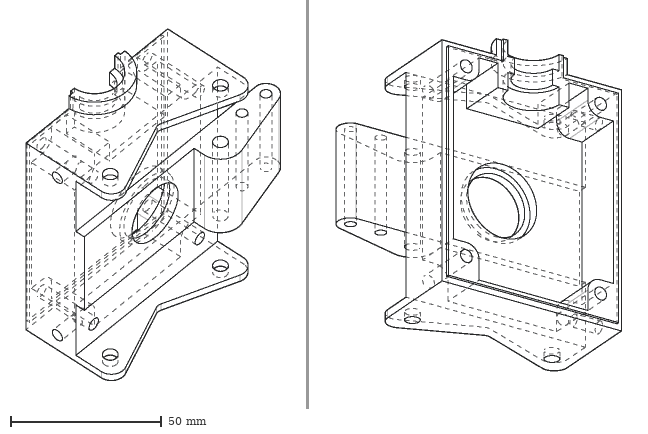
import cadquery as cq
import math


lip_height = 1.0
back_x = 23.3
half_width = 35.4
box_height = 89.0
side_wall = 3.9
end_wall = 3.5
back_wall = 4.1
floor_x = back_x - back_wall
side_step = 1.8
end_step = 2.2

screw_y = 26.5
screw_pitch = 70.0
post_radius = 5.0
screw_diameter = 4.7

seat_z = 46.1
seat_radius = 13.6
bore_radius = 11.5

total_height = 95.0
collar_radius = 14.1
collar_bottom_z = 76.5
collar_lip_half = collar_radius - end_step
counterbore_radius = 10.1
collar_bore_radius = 7.5
web_bottom_z = 83.0

ear_reach = 39.6
ear_thickness = 3.0
ear_corner_radius = 5.0
notch_x = 28.1
notch_radius = 3.0
pivot_x = 31.5
pivot_y = 27.55
pivot_diameter = 5.2

bracket_height = 35.1
plate_back_x = 27.0
arm_tip_x = 28.0
arm_tip_y = 54.2
arm_tip_radius = 4.8
arm_hole_pitch = 12.0
arm_hole_diameter = 3.9

side_hole_x = 15.0
side_hole_pitch = 75.05
side_hole_diameter = 4.5
side_hole_depth = 10.0
drill_point_angle = 118.0

middle_z = box_height / 2
screw_levels = (seat_z - screw_pitch / 2, seat_z + screw_pitch / 2)


def block(x_range, y_range, z_range):
    """Box between the given limits on each axis."""
    lows, highs = zip(x_range, y_range, z_range)
    sizes = [high - low for low, high in zip(lows, highs)]
    return cq.Workplane("XY").box(*sizes, centered=False).translate(lows)


def pin_z(x, y, radius, z_low, z_high):
    """Cylinder along Z."""
    return cq.Workplane("XY", origin=(x, y, z_low)).circle(radius).extrude(z_high - z_low)


def pin_x(y, z, radius, x_low, x_high):
    """Cylinder along X."""
    return cq.Workplane("YZ", origin=(x_low, y, z)).circle(radius).extrude(x_high - x_low)


def make_cavity():
    """Hollow of the box, leaving a rounded post in each corner."""
    inner_half = half_width - side_wall
    inner_top = box_height - end_wall
    cavity = block((0, floor_x), (-inner_half, inner_half), (end_wall, inner_top))
    low_screw_z, high_screw_z = screw_levels
    post_ends = ((0, low_screw_z + post_radius), (box_height, high_screw_z - post_radius))
    for side in (-1, 1):
        inner_y = side * (screw_y - post_radius)
        for outer_z, inner_z in post_ends:
            post = block((0, floor_x), sorted((inner_y, side * half_width)), sorted((outer_z, inner_z)))
            inner_edge = cq.selectors.NearestToPointSelector((floor_x / 2, inner_y, inner_z))
            cavity = cavity.cut(post.edges(inner_edge).fillet(post_radius))
    return cavity


def make_collar():
    """Half collar standing on the box, with a square block below it inside the cavity."""
    kept_half = block((0, collar_radius), (-collar_radius, collar_radius), (box_height, total_height))
    ring = pin_z(0, 0, collar_radius, box_height, total_height).intersect(kept_half)
    inner_block = block((0, floor_x), (-collar_radius, collar_radius), (collar_bottom_z, box_height))
    return ring.union(inner_block)


def make_collar_bore():
    """Bore of the collar, wider above and below a central web."""
    bore = pin_z(0, 0, collar_bore_radius, collar_bottom_z, total_height)
    bore = bore.union(pin_z(0, 0, counterbore_radius, collar_bottom_z, web_bottom_z))
    return bore.union(pin_z(0, 0, counterbore_radius, box_height, total_height))


def make_lip_step():
    """Rim lowered around the raised joint lip, following the box and the collar."""
    rim = block((0, lip_height), (-half_width, half_width), (0, total_height))
    lip_half = half_width - side_step
    lip = block((0, lip_height), (-lip_half, lip_half), (end_step, box_height - end_step))
    neck = block((0, lip_height), (-collar_lip_half, collar_lip_half), (middle_z, total_height))
    return rim.cut(lip).cut(neck)


def make_ear():
    """Ear plate with a V notch whose flanks are tangent to the rounded corners."""
    corner_dx = ear_reach - ear_corner_radius - notch_x
    corner_dy = half_width - ear_corner_radius
    flank_angle = math.atan2(corner_dx, corner_dy)
    flank_angle += math.asin(ear_corner_radius / math.hypot(corner_dx, corner_dy))
    sharp_x = notch_x + half_width * math.tan(flank_angle)
    ear = (
        cq.Workplane("XY")
        .polyline([
            (lip_height, -half_width),
            (sharp_x, -half_width),
            (notch_x, 0),
            (sharp_x, half_width),
            (lip_height, half_width),
        ])
        .close()
        .extrude(ear_thickness)
    )
    ear = ear.edges("|Z").edges(">X").fillet(ear_corner_radius)
    notch_edge = cq.selectors.NearestToPointSelector((notch_x, 0, ear_thickness / 2))
    return ear.edges(notch_edge).fillet(notch_radius)


def make_bracket():
    """Plate on the back wall carrying the pivot lug and the tapered arm."""
    lug_radius = ear_reach - pivot_x
    dx = arm_tip_x - pivot_x
    dy = arm_tip_y - pivot_y
    normal = math.atan2(dy, dx) - math.acos((lug_radius - arm_tip_radius) / math.hypot(dx, dy))
    tip_start_y = arm_tip_y + math.sqrt(arm_tip_radius**2 - (arm_tip_x - back_x) ** 2)

    def on_circle(x, y, radius, angle):
        return (x + radius * math.cos(angle), y + radius * math.sin(angle))

    return (
        cq.Workplane("XY", origin=(0, 0, middle_z - bracket_height / 2))
        .moveTo(back_x, -half_width)
        .lineTo(plate_back_x, -half_width)
        .lineTo(plate_back_x, pivot_y - lug_radius)
        .lineTo(pivot_x, pivot_y - lug_radius)
        .threePointArc(
            (pivot_x + lug_radius, pivot_y),
            on_circle(pivot_x, pivot_y, lug_radius, normal),
        )
        .lineTo(*on_circle(arm_tip_x, arm_tip_y, arm_tip_radius, normal))
        .threePointArc((arm_tip_x, arm_tip_y + arm_tip_radius), (back_x, tip_start_y))
        .close()
        .extrude(bracket_height)
    )


def make_side_hole(z):
    """Blind hole into the -Y side, ending in a drill point."""
    radius = side_hole_diameter / 2
    point_length = radius / math.tan(math.radians(drill_point_angle / 2))
    return (
        cq.Workplane("XY", origin=(side_hole_x, -half_width, z))
        .polyline([
            (0, 0),
            (radius, 0),
            (radius, side_hole_depth),
            (0, side_hole_depth + point_length),
        ])
        .close()
        .revolve(360, (0, 0, 0), (0, 1, 0))
    )


ear = make_ear()
body = block((0, back_x), (-half_width, half_width), (0, box_height))
body = body.cut(make_cavity()).union(make_collar())
body = body.union(ear).union(ear.translate((0, 0, box_height - ear_thickness)))
body = body.union(make_bracket())

body = body.cut(make_lip_step()).cut(make_collar_bore())

body = body.cut(pin_x(0, seat_z, seat_radius, floor_x, back_x))
body = body.cut(pin_x(0, seat_z, bore_radius, back_x, plate_back_x))

for side in (-1, 1):
    body = body.cut(pin_z(pivot_x, side * pivot_y, pivot_diameter / 2, 0, box_height))
    for screw_z in screw_levels:
        body = body.cut(pin_x(side * screw_y, screw_z, screw_diameter / 2, 0, back_x))
    body = body.cut(make_side_hole(middle_z + side * side_hole_pitch / 2))

for hole_y in (arm_tip_y, arm_tip_y - arm_hole_pitch):
    body = body.cut(pin_z(arm_tip_x, hole_y, arm_hole_diameter / 2, 0, box_height))

result = body